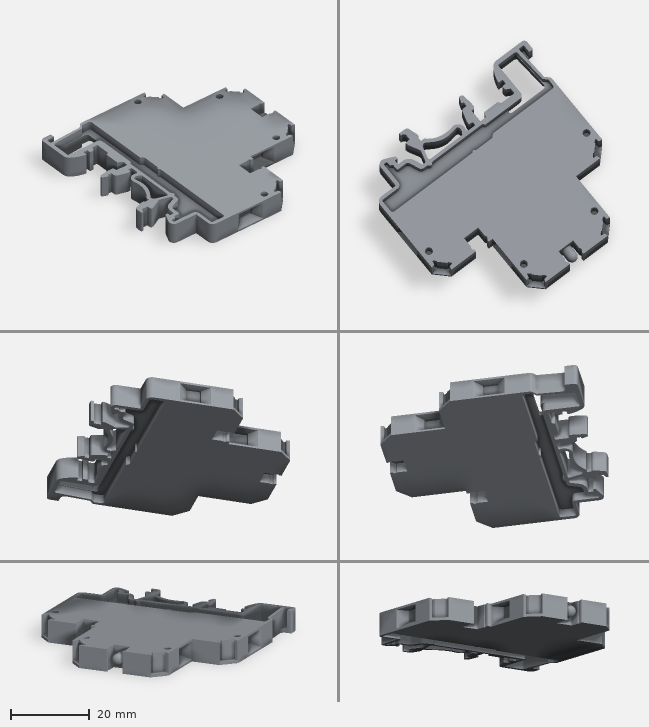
import cadquery as cq
import math

LENGTH = 56.0
HEIGHT = 54.0
THICKNESS = 5.95

BODY_LEFT = 1.05
SHOULDER_Y = 36.6
TOWER_LEFT = 12.3
TOWER_RIGHT = 39.2
UPPER_BEVEL = 3.4
LOWER_BEVEL = 3.6

BODY_BOTTOM = 10.2
WINDOW_TOP = 12.7
WINDOW_RIGHT = 9.65
BEAM_CORNER_RADIUS = 1.1
CLIP_LEDGE = 5.0

GROOVE_FLOOR_Z = 0.7
GROOVE_MOUTH = 2.4
GROOVE_NECK = 1.95
GROOVE_BASE = 2.6
GROOVE_BOTTOM = 2.25
GROOVE_PAD = 1.35
GROOVE_NECK_DEPTH = 0.85
GROOVE_PAD_DEPTH = 1.6
GROOVE_DEPTH = 1.85

NOTCH_LIP = 0.15
NOTCH_SNAP = 0.2
UPPER_NOTCH_X = (TOWER_LEFT + TOWER_RIGHT) / 2
UPPER_NOTCH_WIDTH = 4.65
UPPER_NOTCH_DEPTH = 4.4
LOWER_NOTCH_X = 42.5
LOWER_NOTCH_WIDTH = 4.55
LOWER_NOTCH_DEPTH = 4.6

PIN_DIAMETER = 3.0
PIN_TOP = 53.5

HOLE_DIAMETER = 2.0
HOLE_FLOOR_DIAMETER = 1.6
HOLE_DEPTH = 2.4
HOLE_INSET = 2.1
HOLE_BELOW_BEVEL = 3.8

FUNNEL_WIDTH = 8.1
FUNNEL_Z = (0.5, 5.4)
FUNNEL_END_WIDTH = 3.9
FUNNEL_END_Z = (1.8, 5.05)
FUNNEL_DEPTH = 1.9
UPPER_ENTRY_Y = 40.4
UPPER_PASSAGE = 0.8
LOWER_ENTRY_Y = 23.0
LOWER_PASSAGE = 0.5

RECESS_DEPTH = 2.4
FOOT_SLOT_LEFT = 1.25
FOOT_SLOT_BOTTOM = 1.05
FOOT_SLOT_TOP = 5.05
FOOT_WEB = 0.9
FOOT_TOP = 3.35
LEG_TOP = 10.9
LEG_TOP_X = 2.35
LEG_LEAN = 0.052
RAIL_BEAM_TOP = 11.65
RECESS_BOTTOM = 11.1


def rounded_outline(corners):
    """Closed wire through (x, y) or (x, y, radius) corners; a radius rounds that corner."""
    stretches = []
    for i, corner in enumerate(corners):
        here = cq.Vector(*corner[:2])
        radius = corner[2] if len(corner) == 3 else 0
        if not radius:
            stretches.append((here,))
            continue
        to_last = (cq.Vector(*corners[i - 1][:2]) - here).normalized()
        to_next = (cq.Vector(*corners[(i + 1) % len(corners)][:2]) - here).normalized()
        half_angle = to_last.getAngle(to_next) / 2
        setback = radius / math.tan(half_angle)
        to_arc = radius / math.sin(half_angle) - radius
        middle = here + (to_last + to_next).normalized() * to_arc
        stretches.append((here + to_last * setback, middle, here + to_next * setback))

    sketch = cq.Workplane("XY").moveTo(*stretches[0][-1].toTuple()[:2])
    for stretch in stretches[1:] + stretches[:1]:
        sketch = sketch.lineTo(*stretch[0].toTuple()[:2])
        if len(stretch) == 3:
            sketch = sketch.threePointArc(stretch[1].toTuple()[:2], stretch[2].toTuple()[:2])
    return sketch.close()


def cutter(corners, floor_z=0.0):
    """Prism over the outline from floor_z to the front face."""
    return rounded_outline(corners).extrude(THICKNESS - floor_z).translate((0, 0, floor_z))


def leg_outer_x(y):
    """Outer side of the slightly leaning leg that carries the release foot."""
    return LEG_TOP_X + (LEG_TOP - y) * LEG_LEAN


release_foot = [
    (BODY_LEFT, 12.1, 1.05),
    (leg_outer_x(LEG_TOP), LEG_TOP, 0.45),
    (leg_outer_x(FOOT_TOP), FOOT_TOP, 1.1),
    (0, FOOT_TOP, 0.3),
    (0, 0, 1.0),
]
left_claw = [
    (10.3, 0, 2.0),
    (11.7, 2.2, 8.4),
    (12.4, 4.55),
    (12.4, CLIP_LEDGE),
    (11.1, CLIP_LEDGE),
    (11.1, 6.3),
    (12.2, 6.3),
    (12.2, 7.45),
    (10.9, 8.1),
    (10.9, 9.65, 0.3),
    (15.3, 9.65),
    (15.7, 8.85),
    (19.95, 8.85),
    (20.65, BODY_BOTTOM),
]
middle_hook = [
    (22.35, BODY_BOTTOM),
    (22.35, 6.6),
    (21.15, 6.6, 0.7),
    (21.15, CLIP_LEDGE),
    (21.55, 1.75, 0.7),
    (22.55, 1.75),
    (23.1, 3.3),
    (22.9, 3.6),
    (22.55, 3.6),
    (22.55, 4.8),
    (24.15, 4.8, 0.6),
    (25.1, 8.1),
    (25.1, 9.1, 0.2),
    (23.95, 9.1, 0.4),
    (23.95, BODY_BOTTOM, 0.3),
]
spring_underside = [
    (26.7, BODY_BOTTOM, 0.45),
    (26.5, 9.1),
    (26.5, 6.45, 2.0),
    (33.45, 7.85, 7.85),
    (36.4, CLIP_LEDGE),
]
right_hook = [
    (37.4, CLIP_LEDGE),
    (37.4, 3.8),
    (37.1, 3.5),
    (37.1, 2.9),
    (37.95, 0.2, 0.7),
    (38.8, 0),
    (40.5, 0),
    (40.5, 0.7),
    (40.15, 0.7),
    (39.35, 1.2),
    (39.35, 2.9),
    (40.25, 2.9),
    (40.8, 3.1),
    (40.55, 4.05),
    (39.0, 6.95, 0.9),
    (39.9, BODY_BOTTOM, 0.55),
]
right_leg = [
    (40.95, BODY_BOTTOM, 0.35),
    (42.55, 6.3, 2.8),
    (45.8, 6.3),
    (45.8, CLIP_LEDGE),
    (44.9, CLIP_LEDGE, 0.2),
    (44.9, 4.25),
    (49.7, 2.1, 1.4),
    (49.7, 10.35, 0.3),
    (LENGTH, 10.35, 1.6),
]
terminal_decks = [
    (LENGTH, SHOULDER_Y - LOWER_BEVEL),
    (LENGTH - LOWER_BEVEL, SHOULDER_Y),
    (TOWER_RIGHT, SHOULDER_Y),
    (TOWER_RIGHT, HEIGHT - UPPER_BEVEL),
    (TOWER_RIGHT - UPPER_BEVEL, HEIGHT),
    (TOWER_LEFT + UPPER_BEVEL, HEIGHT),
    (TOWER_LEFT, HEIGHT - UPPER_BEVEL),
    (TOWER_LEFT, SHOULDER_Y),
    (BODY_LEFT + LOWER_BEVEL, SHOULDER_Y),
    (BODY_LEFT, SHOULDER_Y - LOWER_BEVEL),
]
clips = release_foot + left_claw + middle_hook + spring_underside + right_hook + right_leg
body = cutter(clips + terminal_decks)


foot_window = [
    (3.25, WINDOW_TOP, 0.7),
    (14.7, WINDOW_TOP, 0.5),
    (14.7, RAIL_BEAM_TOP, 0.5),
    (WINDOW_RIGHT, RAIL_BEAM_TOP, BEAM_CORNER_RADIUS),
    (WINDOW_RIGHT, 1.2, 0.3),
    (3.85, 1.2, 0.45),
    (3.25, 10.1),
]
spring_window = [
    (28.15, BODY_BOTTOM),
    (39.05, BODY_BOTTOM, 0.5),
    (37.7, 5.5, 0.85),
    (32.7, 8.6, 7.0),
    (27.55, 7.6, 0.8),
    (27.55, 9.1),
]
body = body.cut(cutter(foot_window)).cut(cutter(spring_window))


def recess_outline(beam_edge):
    """Recess above the clips; its lower left run lies along the leg and inside the foot window."""
    upper_edge = [
        (1.95, 14.7, 0.8),
        (21.85, 14.7),
        (22.6, 15.5),
        (27.9, 15.5),
        (28.5, 14.95, 0.45),
        (29.1, 15.5),
        (54.95, 15.5, 0.7),
    ]
    right_leg_pocket = [
        (54.95, 11.25, 0.35),
        (48.65, 11.25, 1.2),
        (48.65, 4.0, 0.35),
        (47.6, 4.0, 0.35),
        (47.6, 5.25, 0.35),
        (46.9, 5.6),
        (46.9, 7.35, 0.45),
        (43.5, 7.35, 1.1),
        (42.0, RECESS_BOTTOM, 1.1),
    ]
    hook_root = [
        (40.15, RECESS_BOTTOM),
        (39.35, 11.8, 0.55),
        (38.5, RECESS_BOTTOM),
    ]
    leg_side = [
        (WINDOW_RIGHT, 8.4),
        (4.1, 1.4),
        (3.75, 1.4),
        (3.0, 11.15, 0.45),
        (1.95, 12.05, 0.3),
    ]
    return upper_edge + right_leg_pocket + hook_root + beam_edge + leg_side


front_beam_edge = [
    (22.3, RECESS_BOTTOM),
    (22.0, RAIL_BEAM_TOP),
    (WINDOW_RIGHT, RAIL_BEAM_TOP, BEAM_CORNER_RADIUS),
]
back_beam_edge = [(WINDOW_RIGHT, RECESS_BOTTOM, BEAM_CORNER_RADIUS)]

front_recess = cutter(recess_outline(front_beam_edge), THICKNESS - RECESS_DEPTH)
back_recess = rounded_outline(recess_outline(back_beam_edge)).extrude(RECESS_DEPTH)
body = body.cut(front_recess).cut(back_recess)

foot_slot = [
    (FOOT_SLOT_LEFT, FOOT_SLOT_TOP),
    (FOOT_SLOT_LEFT, FOOT_SLOT_BOTTOM, 0.35),
    (leg_outer_x(FOOT_SLOT_BOTTOM), FOOT_SLOT_BOTTOM, 0.2),
    (leg_outer_x(FOOT_SLOT_TOP), FOOT_SLOT_TOP),
]
body = body.cut(cutter(foot_slot, FOOT_WEB))


def tag_groove(side_x, top_y, bevel, inward):
    """Groove in a corner bevel; inward is +1 on a left corner and -1 on a right corner."""
    half_section = [
        (GROOVE_MOUTH, 0),
        (GROOVE_NECK, GROOVE_NECK_DEPTH),
        (GROOVE_BASE, GROOVE_PAD_DEPTH),
        (GROOVE_BOTTOM, GROOVE_DEPTH),
        (GROOVE_PAD, GROOVE_DEPTH),
        (GROOVE_PAD, GROOVE_PAD_DEPTH),
    ]
    section = half_section + [(-across, depth) for across, depth in reversed(half_section)]
    middle = (side_x + inward * bevel / 2, top_y - bevel / 2, 0)
    return cutter(section, GROOVE_FLOOR_Z).rotate((0, 0, 0), (0, 0, 1), -135 * inward).translate(middle)


def test_hole(x, y):
    cone = cq.Solid.makeCone(HOLE_FLOOR_DIAMETER / 2, HOLE_DIAMETER / 2, HOLE_DEPTH)
    return cq.Workplane(cone.translate(cq.Vector(x, y, THICKNESS - HOLE_DEPTH)))


def wire_entry(side_x, y, passage, inward):
    mouth_height = FUNNEL_Z[1] - FUNNEL_Z[0]
    end_height = FUNNEL_END_Z[1] - FUNNEL_END_Z[0]
    mouth_middle_z = sum(FUNNEL_Z) / 2
    end_middle_z = sum(FUNNEL_END_Z) / 2
    funnel = (
        cq.Workplane("YZ", origin=(side_x, y, mouth_middle_z))
        .rect(FUNNEL_WIDTH, mouth_height)
        .workplane(offset=inward * FUNNEL_DEPTH)
        .center(0, end_middle_z - mouth_middle_z)
        .rect(FUNNEL_END_WIDTH, end_height)
        .loft(ruled=True)
    )
    straight_end = (
        cq.Workplane("YZ", origin=(side_x + inward * FUNNEL_DEPTH, y, end_middle_z))
        .rect(FUNNEL_END_WIDTH, end_height)
        .extrude(inward * passage)
    )
    return funnel.union(straight_end)


deck_corners = [
    (TOWER_LEFT, HEIGHT, UPPER_BEVEL, UPPER_ENTRY_Y, UPPER_PASSAGE, 1),
    (TOWER_RIGHT, HEIGHT, UPPER_BEVEL, UPPER_ENTRY_Y, UPPER_PASSAGE, -1),
    (BODY_LEFT, SHOULDER_Y, LOWER_BEVEL, LOWER_ENTRY_Y, LOWER_PASSAGE, 1),
    (LENGTH, SHOULDER_Y, LOWER_BEVEL, LOWER_ENTRY_Y, LOWER_PASSAGE, -1),
]
for side_x, top_y, bevel, entry_y, passage, inward in deck_corners:
    body = body.cut(tag_groove(side_x, top_y, bevel, inward))
    hole_x = side_x + inward * HOLE_INSET
    hole_y = top_y - bevel - HOLE_BELOW_BEVEL
    body = body.cut(test_hole(hole_x, hole_y))
    body = body.cut(wire_entry(side_x, entry_y, passage, inward))


def bridge_notch(x, top_y, width, depth):
    side = width / 2
    lip = side - NOTCH_LIP
    snap = side + NOTCH_SNAP
    half_section = [
        (lip, 0),
        (lip, -0.7),
        (snap, -1.0),
        (snap, -1.55),
        (side, -1.85),
        (side, -depth),
    ]
    section = half_section + [(-half, y) for half, y in reversed(half_section)]
    return cutter(section).translate((x, top_y, 0))


body = body.cut(bridge_notch(UPPER_NOTCH_X, HEIGHT, UPPER_NOTCH_WIDTH, UPPER_NOTCH_DEPTH))
body = body.cut(bridge_notch(LOWER_NOTCH_X, SHOULDER_Y, LOWER_NOTCH_WIDTH, LOWER_NOTCH_DEPTH))

pin_radius = PIN_DIAMETER / 2
pin_root = HEIGHT - UPPER_NOTCH_DEPTH - pin_radius
pin = (
    cq.Workplane("XY")
    .moveTo(0, pin_root)
    .lineTo(pin_radius, pin_root)
    .lineTo(pin_radius, PIN_TOP - pin_radius)
    .radiusArc((0, PIN_TOP), -pin_radius)
    .close()
    .revolve(360, (0, 0, 0), (0, 1, 0))
    .translate((UPPER_NOTCH_X, 0, THICKNESS / 2))
)

result = body.union(pin)